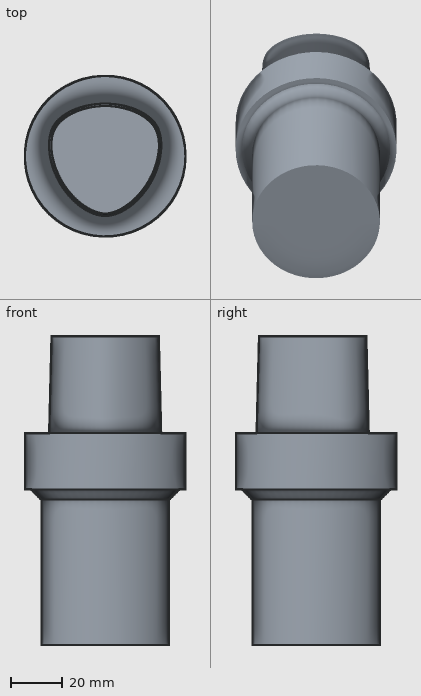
import cadquery as cq
import math

SHANK_DIAMETER = 50.0
SHANK_LENGTH = 57.0

CONE_HEIGHT = 4.0

COLLAR_DIAMETER = 63.0
COLLAR_HEIGHT = 22.0

TAPER_LENGTH = 38.0
TAPER_BASE_WIDTH = 44.0
TAPER_RATIO = 1 / 20
LOBE_HEIGHT = 1.4
LOBE_COUNT = 3
LOBE_DIRECTION = -math.pi / 2
CURVE_SAMPLES = 96

COLLAR_BOTTOM_Z = SHANK_LENGTH + CONE_HEIGHT
COLLAR_TOP_Z = COLLAR_BOTTOM_Z + COLLAR_HEIGHT
TAPER_TOP_WIDTH = TAPER_BASE_WIDTH - TAPER_RATIO * TAPER_LENGTH


def make_turned_body():
    """Shank, cone and collar as one revolved profile."""
    shank_radius = SHANK_DIAMETER / 2
    collar_radius = COLLAR_DIAMETER / 2
    profile = (
        cq.Workplane("XZ")
        .lineTo(shank_radius, 0)
        .lineTo(shank_radius, SHANK_LENGTH)
        .lineTo(shank_radius + CONE_HEIGHT, COLLAR_BOTTOM_Z)
        .lineTo(collar_radius, COLLAR_BOTTOM_Z)
        .lineTo(collar_radius, COLLAR_TOP_Z)
        .lineTo(0, COLLAR_TOP_Z)
        .close()
    )
    return profile.revolve(360, (0, 0, 0), (0, 1, 0))


def lobed_point(width, turn):
    """Point on a constant-width lobed curve, for a turn running from 0 to 1.

    The tangent line whose normal has angle a lies at the distance
    width / 2 + LOBE_HEIGHT * cos(LOBE_COUNT * (a - LOBE_DIRECTION)) from the axis.
    """
    angle = LOBE_DIRECTION + 2 * math.pi * turn
    lobe_phase = LOBE_COUNT * (angle - LOBE_DIRECTION)
    distance = width / 2 + LOBE_HEIGHT * math.cos(lobe_phase)
    slope = -LOBE_COUNT * LOBE_HEIGHT * math.sin(lobe_phase)
    x = distance * math.cos(angle) - slope * math.sin(angle)
    y = distance * math.sin(angle) + slope * math.cos(angle)
    return x, y


def make_lobed_outline(width, z):
    """Closed lobed outline of the given width at height z."""
    points = []
    for step in range(CURVE_SAMPLES):
        x, y = lobed_point(width, step / CURVE_SAMPLES)
        points.append(cq.Vector(x, y, z))
    curve = cq.Edge.makeSpline(points, periodic=True)
    return cq.Wire.assembleEdges([curve])


def make_lobed_taper():
    """Lobed taper, from the collar face up to its smaller end."""
    base = make_lobed_outline(TAPER_BASE_WIDTH, COLLAR_TOP_Z)
    tip = make_lobed_outline(TAPER_TOP_WIDTH, COLLAR_TOP_Z + TAPER_LENGTH)
    return cq.Workplane(cq.Solid.makeLoft([base, tip], True))


result = make_turned_body().union(make_lobed_taper())